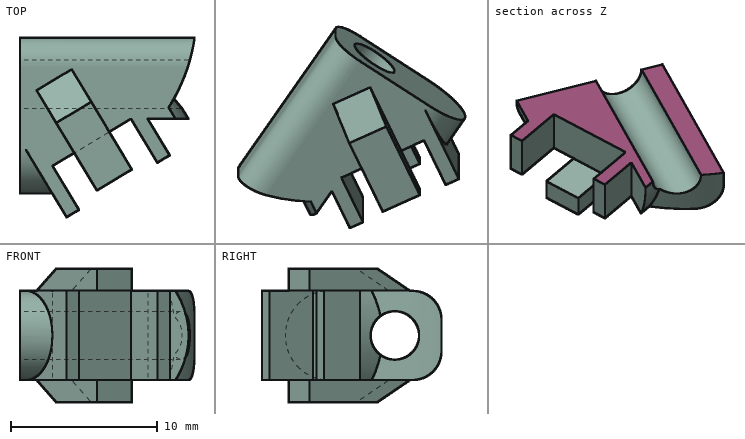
import cadquery as cq
import math

BODY_LENGTH = 11.97
BODY_DEPTH = 10.68
BODY_HEIGHT = 6.12
HALF_HEIGHT = BODY_HEIGHT / 2
BACK_Y = 3.2
BACK_RADIUS = 2.0
NOSE_RADIUS = 3.0
HOLE_DIAMETER = 3.3

END_RADIUS = 12.0
END_CENTER_Y = 4.9

CLIP_ANGLE = 31.0
OVERALL_DEPTH = 12.3
CLIP_TIP = (3.2, BACK_Y - OVERALL_DEPTH)
CLIP_WIDTH = 8.24
CUT_REACH = 15.0
CLIP_DEPTH = 8.0
ARM_WIDTH = 1.0
ARM_LENGTH = 3.5
LUG_RADIUS = 6.5

RIB_WIDTH = 2.8
RIB_LENGTH = 8.0
RIB_RAMP = 2.6
RIB_SETBACK = 0.5
OVERALL_HEIGHT = 9.15
RIB_HEIGHT = (OVERALL_HEIGHT - BODY_HEIGHT) / 2

COS = math.cos(math.radians(CLIP_ANGLE))
SIN = math.sin(math.radians(CLIP_ANGLE))


def clip_point(across, back):
    """Plan position, measured across the clip and back from its arm tips."""
    return (
        CLIP_TIP[0] + across * COS - back * SIN,
        CLIP_TIP[1] + across * SIN + back * COS,
    )


def clip_block(across_start, across_end, back_start, back_end):
    """Full-height box aligned with the clip."""
    corners = [
        clip_point(across_start, back_start),
        clip_point(across_end, back_start),
        clip_point(across_end, back_end),
        clip_point(across_start, back_end),
    ]
    return cq.Workplane("XY").polyline(corners).close().extrude(HALF_HEIGHT, both=True)


FRONT_Y = clip_point(CLIP_WIDTH - ARM_WIDTH, ARM_LENGTH)[1]


def plan_box(x_start, x_end, y_start, y_end):
    """Full-height box given by its plan limits."""
    return (
        cq.Workplane("XY")
        .box(x_end - x_start, y_end - y_start, BODY_HEIGHT, centered=(False, False, True))
        .translate((x_start, y_start, 0))
    )


def make_bar():
    """Rounded bar left of the clip's outer face, with its large nose radius at the front."""
    bar = plan_box(0, BODY_LENGTH, BACK_Y - BODY_DEPTH, BACK_Y)
    bar = bar.edges("|X and <Y").fillet(NOSE_RADIUS)
    right_of_clip = clip_block(0, CUT_REACH, -CUT_REACH, CUT_REACH)
    return bar.cut(right_of_clip)


def make_core():
    """Full-height block between the clip's outer face, the body's front and its round end."""
    end_center_x = BODY_LENGTH - math.sqrt(END_RADIUS**2 - (END_CENTER_Y - BACK_Y) ** 2)
    end_cylinder = (
        cq.Workplane("XY")
        .center(end_center_x, END_CENTER_Y)
        .circle(END_RADIUS)
        .extrude(HALF_HEIGHT, both=True)
    )
    core = plan_box(0, BODY_LENGTH, FRONT_Y, BACK_Y).intersect(end_cylinder)
    left_of_clip = clip_block(-CUT_REACH, 0, -CUT_REACH, CUT_REACH)
    return core.cut(left_of_clip)


def make_lug():
    """Rounded clip flank, a cylinder along the clip axis, standing out at the front right."""
    axis_plane = cq.Plane(
        origin=(*clip_point(CLIP_WIDTH / 2, 0), 0),
        xDir=(COS, SIN, 0),
        normal=(-SIN, COS, 0),
    )
    cylinder = cq.Workplane(axis_plane).circle(LUG_RADIUS).extrude(CLIP_DEPTH)
    core_side = clip_block(CLIP_WIDTH / 2, CLIP_WIDTH / 2 + LUG_RADIUS, 0, CLIP_DEPTH)
    front_zone = plan_box(0, BODY_LENGTH, FRONT_Y, BACK_Y)
    return cylinder.intersect(core_side).intersect(front_zone)


def make_clip():
    """Notch floor block and the two arms in front of it."""
    left_arm = clip_block(0, ARM_WIDTH, 0, ARM_LENGTH)
    right_arm = left_arm.translate(
        ((CLIP_WIDTH - ARM_WIDTH) * COS, (CLIP_WIDTH - ARM_WIDTH) * SIN, 0)
    )
    body_limits = plan_box(0, BODY_LENGTH, BACK_Y - BODY_DEPTH, BACK_Y)
    floor_block = clip_block(0, CLIP_WIDTH - ARM_WIDTH, ARM_LENGTH, CLIP_DEPTH)
    floor_block = floor_block.intersect(body_limits)
    return floor_block.union(left_arm).union(right_arm)


def make_rib():
    """Guide rib on the top face, ramped down at its back end."""
    start = CLIP_WIDTH / 2 - RIB_WIDTH / 2
    side_plane = cq.Plane(
        origin=(*clip_point(start, RIB_SETBACK), HALF_HEIGHT),
        xDir=(-SIN, COS, 0),
        normal=(COS, SIN, 0),
    )
    profile = [
        (0, 0),
        (RIB_LENGTH, 0),
        (RIB_LENGTH - RIB_RAMP, RIB_HEIGHT),
        (0, RIB_HEIGHT),
    ]
    return cq.Workplane(side_plane).polyline(profile).close().extrude(RIB_WIDTH)


def make_pivot_hole():
    """Through hole along X."""
    return cq.Workplane("YZ").circle(HOLE_DIAMETER / 2).extrude(BODY_LENGTH)


body = make_bar().union(make_core()).union(make_lug()).union(make_clip())
body = body.edges("|X and >Y").fillet(BACK_RADIUS)
body = body.cut(make_pivot_hole())

top_rib = make_rib()
bottom_rib = top_rib.mirror("XY")
result = body.union(top_rib).union(bottom_rib)